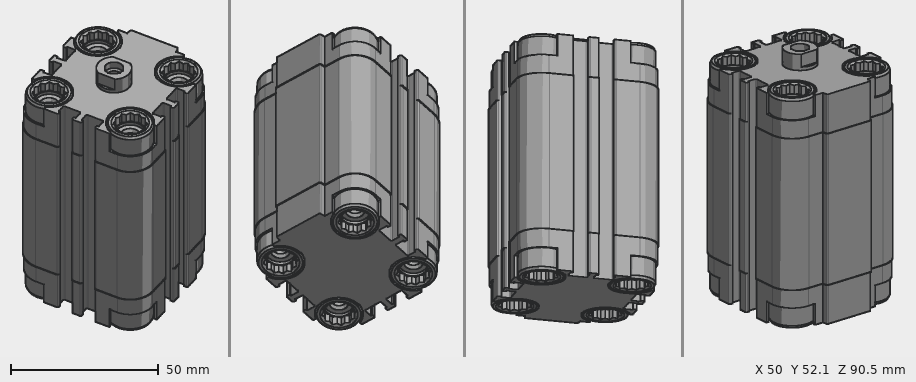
import cadquery as cq
import math

total_height = 90.5
rod_projection = 6.0
housing_height = total_height - rod_projection
housing_width = 50.0
cap_height = 14.4
cap_inset = 0.3

screw_offset = 16.0
screw_diameter = 16.0
screw_chamfer_width = 0.5
screw_chamfer_height = 1.0
seat_diameter = 16.5
notch_offset = 12.9
notch_depth = 7.8
corner_radius = housing_width / 2 - screw_offset

drive_cone_diameter = 12.85
drive_cone_depth = 0.7
drive_tip_diameter = 11.6
drive_depth = 3.9
socket_floor_diameter = 10.1
socket_depth = 5.2
countersink_diameter = 6.4
bore_diameter = 4.9
countersink_depth = 1.3

pad_top_width = 19.2
pad_base_width = 19.9
pad_height = 2.1
pad_shoulder_height = 0.3
pad_corner_radius = 0.4

slot_spacing = 9.05
slot_mouth = 5.4
slot_inner_width = 6.8
slot_floor = 19.9
slot_lip_back = 23.3
slot_lip_radius = 0.45
slot_floor_radius = 0.4

rod_diameter = 12.0
rod_insertion = cap_height
rod_flat_width = 10.0
rod_flat_height = 4.7
rod_counterbore_diameter = 6.4
rod_counterbore_depth = 2.6
rod_countersink_depth = 0.6
rod_hole_diameter = 4.9
rod_hole_depth = 12.7
rod_drill_angle = 118.0


def cone(bottom_diameter, top_diameter, bottom_z, height):
    """Cone or frustum on the Z axis, rising from bottom_z."""
    return cq.Workplane(cq.Solid.makeCone(bottom_diameter / 2, top_diameter / 2, height,
                                          cq.Vector(0, 0, bottom_z)))


def cylinder(diameter, bottom_z, height):
    """Cylinder on the Z axis, rising from bottom_z."""
    return cq.Workplane(cq.Solid.makeCylinder(diameter / 2, height, cq.Vector(0, 0, bottom_z)))


def at_corners(shape):
    """Copies of a shape made on the Z axis, one on each screw axis."""
    return [shape.translate((x, y, 0))
            for x in (-screw_offset, screw_offset) for y in (-screw_offset, screw_offset)]


def both_ends(shape):
    """A shape at the top end and its mirror image at the bottom end."""
    middle = (0, 0, housing_height / 2)
    return [shape, shape.mirror("XY", middle)]


def t_slot(face):
    """One full-height T slot opening toward +Y through a side face at Y = face."""
    mouth = slot_mouth / 2
    inner = slot_inner_width / 2
    flare = mouth + slot_lip_radius
    slot = (
        cq.Workplane("XY")
        .moveTo(-flare, face)
        .radiusArc((-mouth, face - slot_lip_radius), slot_lip_radius)
        .lineTo(-mouth, slot_lip_back)
        .lineTo(-inner, slot_lip_back)
        .lineTo(-inner, slot_floor)
        .lineTo(inner, slot_floor)
        .lineTo(inner, slot_lip_back)
        .lineTo(mouth, slot_lip_back)
        .lineTo(mouth, face - slot_lip_radius)
        .radiusArc((flare, face), slot_lip_radius)
        .close()
        .extrude(housing_height)
    )
    return slot.faces("<Y").edges("|Z").fillet(slot_floor_radius)


def housing_section(inset, bottom_z, height):
    """Length of the housing profile with its outline moved inward by inset."""
    face = housing_width / 2 - inset
    section = (
        cq.Workplane("XY")
        .rect(2 * face, 2 * face)
        .extrude(height)
        .edges("|Z")
        .fillet(corner_radius - inset)
    )
    pad_top = pad_top_width / 2 - inset
    pad_base = pad_base_width / 2 - inset
    pad = (
        cq.Workplane("XY")
        .polyline([(-pad_base, 0), (-pad_base, face + pad_shoulder_height),
                   (-pad_top, face + pad_height), (pad_top, face + pad_height),
                   (pad_base, face + pad_shoulder_height), (pad_base, 0)])
        .close()
        .extrude(height)
        .faces(">Y")
        .edges("|Z")
        .fillet(pad_corner_radius)
    )
    section = section.union(pad)
    slot = t_slot(face)
    for side_angle in (90, 180, 270):
        for shift in (-slot_spacing / 2, slot_spacing / 2):
            placed_slot = slot.translate((shift, 0, 0)).rotate((0, 0, 0), (0, 0, 1), side_angle)
            section = section.cut(placed_slot)
    return section.translate((0, 0, bottom_z))


def corner_notches():
    """Square corner cutouts at the top end."""
    reach = housing_width / 2 - notch_offset
    centre = notch_offset + reach / 2
    return (
        cq.Workplane("XY", origin=(0, 0, housing_height - notch_depth))
        .rect(2 * centre, 2 * centre, forConstruction=True)
        .vertices()
        .rect(reach, reach)
        .extrude(notch_depth)
    )


def drive_socket():
    """Twelve-point drive recess, open at the top end."""
    top = housing_height
    socket = cone(socket_floor_diameter, drive_cone_diameter, top - drive_cone_depth, drive_cone_depth)
    socket = socket.union(cylinder(socket_floor_diameter, top - socket_depth, socket_depth))
    hexagon = (
        cq.Workplane("XY", origin=(0, 0, top - drive_depth))
        .polygon(6, drive_tip_diameter)
        .extrude(drive_depth)
    )
    for turn in (0, 30):
        socket = socket.union(hexagon.rotate((0, 0, 0), (0, 0, 1), turn))
    countersink_bottom = top - socket_depth - countersink_depth
    return socket.union(cone(bore_diameter, countersink_diameter, countersink_bottom, countersink_depth))


def screw_head():
    """Chamfered round screw head, one notch deep, at the top end."""
    head = cylinder(screw_diameter, housing_height - notch_depth, notch_depth)
    return head.faces(">Z").edges().chamfer(screw_chamfer_height, screw_chamfer_width)


def make_housing():
    """Barrel, end caps and screws as one solid, with a seat for the piston rod."""
    barrel_height = housing_height - 2 * cap_height
    housing = housing_section(0, cap_height, barrel_height)
    for bottom_z in (0, housing_height - cap_height):
        housing = housing.union(housing_section(cap_inset, bottom_z, cap_height))

    head_seat = cylinder(seat_diameter, housing_height - notch_depth, notch_depth)
    for notches in both_ends(corner_notches()):
        housing = housing.cut(notches)
    for seat in both_ends(head_seat):
        for placed_seat in at_corners(seat):
            housing = housing.cut(placed_seat)
    for head in both_ends(screw_head()):
        for placed_head in at_corners(head):
            housing = housing.union(placed_head)
    for socket in both_ends(drive_socket()):
        for placed_socket in at_corners(socket):
            housing = housing.cut(placed_socket)
    for bore in at_corners(cylinder(bore_diameter, 0, housing_height)):
        housing = housing.cut(bore)

    rod_seat = cylinder(rod_diameter, housing_height - rod_insertion, rod_insertion)
    return housing.cut(rod_seat)


def make_rod():
    """Piston rod reaching through the top cap."""
    rod = cylinder(rod_diameter, housing_height - rod_insertion, rod_insertion + rod_projection)

    flat_bottom = total_height - rod_flat_height
    flat_band = cylinder(rod_diameter, flat_bottom, rod_flat_height)
    between_flats = (
        cq.Workplane("XY", origin=(0, 0, flat_bottom))
        .rect(rod_diameter, rod_flat_width)
        .extrude(rod_flat_height)
    )
    rod = rod.cut(flat_band.cut(between_flats))

    entry_bottom = total_height - rod_counterbore_depth
    hole_bottom = total_height - rod_hole_depth
    point_height = rod_hole_diameter / 2 / math.tan(math.radians(rod_drill_angle / 2))
    rod = rod.cut(cylinder(rod_counterbore_diameter, entry_bottom, rod_counterbore_depth))
    rod = rod.cut(cone(rod_hole_diameter, rod_counterbore_diameter,
                       entry_bottom - rod_countersink_depth, rod_countersink_depth))
    rod = rod.cut(cylinder(rod_hole_diameter, hole_bottom, rod_hole_depth))
    return rod.cut(cone(0, rod_hole_diameter, hole_bottom - point_height, point_height))


housing = make_housing()
piston_rod = make_rod()

result = cq.Compound.makeCompound([housing.val(), piston_rod.val()])